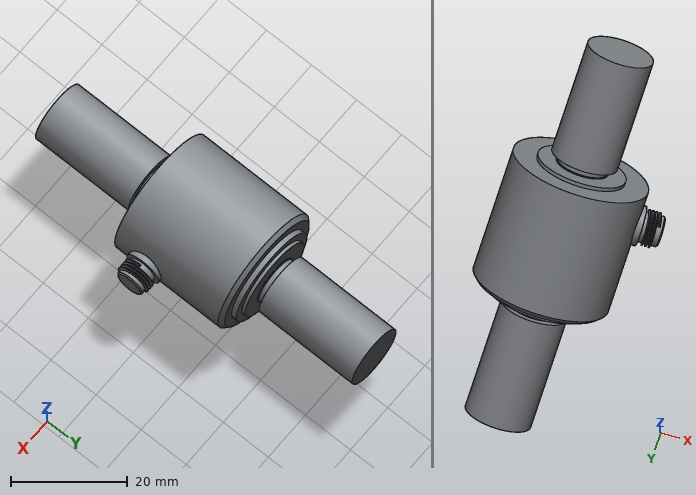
import cadquery as cq

overall_length = 70.36
overall_width = 28.7

housing_diameter = 24.38
housing_half_length = 12.4
front_band_length = 1.3
rear_chamfer = 0.81
rear_face_y = 11.38
rear_step_diameter = 19.02

collar_diameter = 15.88
collar_face_y = 13.05
rim_diameter = 9.29
rim_height = 0.2
neck_diameter = 9.04
shaft_diameter = 11.83
shaft_start_y = 14.5

connector_y = -5.6
connector_flange_diameter = 7.11
connector_flange_end_x = 12.85
barrel_diameter = 5.44
barrel_end_x = overall_width - housing_diameter / 2
barrel_tip_chamfer = 0.25

thread_diameter = 6.35
thread_pitch = 0.635
thread_turns = 3.4
thread_zone_start_x = 13.48
thread_zone_end_x = 15.87
thread_helix_length = thread_pitch * thread_turns
thread_root_width = 0.5
thread_crest_width = 0.12
thread_root_overlap = 0.08


def cylinder_y(diameter, y_start, y_end):
    """Cylinder on the Y axis from y_start to y_end."""
    base = cq.Workplane("XZ", origin=(0, y_start, 0))
    return base.circle(diameter / 2).extrude(y_start - y_end)


def connector_cylinder(diameter, x_start, x_end):
    """Cylinder on the connector axis from x_start to x_end."""
    base = cq.Workplane("YZ", origin=(x_start, connector_y, 0))
    return base.circle(diameter / 2).extrude(x_end - x_start)


def make_housing():
    """Drum in two lengths, with a chamfered rear edge and a rear step."""
    band_end_y = front_band_length - housing_half_length
    band = cylinder_y(housing_diameter, -housing_half_length, band_end_y)
    drum = cylinder_y(housing_diameter, band_end_y, rear_face_y)
    drum = drum.faces(">Y").chamfer(rear_chamfer)
    step = cylinder_y(rear_step_diameter, 0, housing_half_length)
    return drum.union(band, clean=False).union(step, clean=False)


def make_shaft_end():
    """Collar, rim, neck and shaft at the +Y end."""
    collar = cylinder_y(collar_diameter, 0, collar_face_y)
    rim = cylinder_y(rim_diameter, 0, collar_face_y + rim_height)
    neck = cylinder_y(neck_diameter, 0, shaft_start_y)
    shaft = cylinder_y(shaft_diameter, shaft_start_y, overall_length / 2)
    return collar.union(rim).union(neck).union(shaft)


def make_thread():
    """Right-handed helical ridge, built along Z, then laid along X to start on top."""
    root_radius = barrel_diameter / 2 - thread_root_overlap
    crest_radius = thread_diameter / 2
    helix = cq.Wire.makeHelix(thread_pitch, thread_helix_length, root_radius)
    ridge_profile = cq.Workplane("XZ").polyline([
        (root_radius, -thread_root_width / 2),
        (crest_radius, -thread_crest_width / 2),
        (crest_radius, thread_crest_width / 2),
        (root_radius, thread_root_width / 2),
    ]).close()
    ridge = ridge_profile.sweep(cq.Workplane(helix), isFrenet=True)
    ridge = ridge.rotate((0, 0, 0), (0, 0, 1), 180)
    ridge = ridge.rotate((0, 0, 0), (0, 1, 0), 90)
    return ridge.translate((thread_zone_start_x, connector_y, 0))


def make_connector():
    """Flange and three-part barrel on the +X side, threaded on the middle part."""
    flange = connector_cylinder(connector_flange_diameter, 0, connector_flange_end_x)
    barrel_neck = connector_cylinder(barrel_diameter, 0, thread_zone_start_x)
    thread_core = connector_cylinder(barrel_diameter, thread_zone_start_x, thread_zone_end_x)
    barrel_tip = connector_cylinder(barrel_diameter, thread_zone_end_x, barrel_end_x)
    barrel_tip = barrel_tip.faces(">X").chamfer(barrel_tip_chamfer)

    threaded_part = thread_core.union(make_thread(), clean=False)
    connector = flange.union(barrel_neck, clean=False)
    for part in (threaded_part, barrel_tip):
        connector = connector.union(part, clean=False)
    return connector


rear_shaft_end = make_shaft_end()
front_shaft_end = rear_shaft_end.mirror("XZ")

body = make_housing()
for piece in (rear_shaft_end, front_shaft_end, make_connector()):
    body = body.union(piece, clean=False)

result = cq.Workplane(body.solids().val())